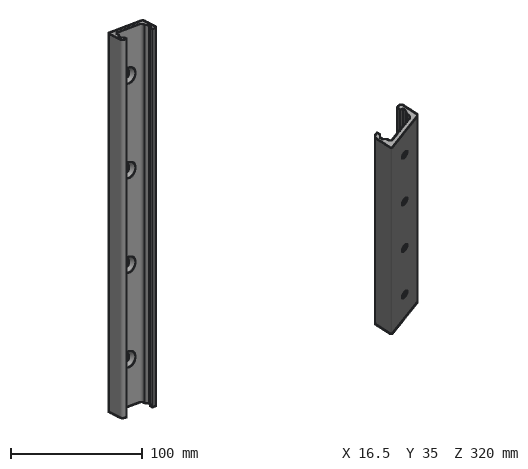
import cadquery as cq

length = 320.0
width = 35.0
depth = 16.5

web_thickness = 4.0
flange_thickness = 4.5
back_corner_radius = 1.3
lip_corner_radius = 2.2
inner_corner_radius = 2.0

groove_depth = 2.0
groove_start = 7.5
groove_floor_start = 10.2
groove_floor_end = 12.5
groove_end = 13.8

hole_diameter = 6.7
countersink_diameter = 13.5
countersink_angle = 90
hole_count = 4
hole_pitch = length / hole_count

half_width = width / 2
flange_inner_face = half_width - flange_thickness
groove_floor = flange_inner_face + groove_depth


def channel():
    """C-shaped rail with its back on X = 0 and its open side toward +X."""
    outer = cq.Workplane("XY").box(depth, width, length, centered=(False, True, False))
    outer = outer.edges("|Z and <X").fillet(back_corner_radius)
    outer = outer.edges("|Z and >X").fillet(lip_corner_radius)
    cavity = (
        cq.Workplane("XY")
        .box(depth, 2 * flange_inner_face, length, centered=(False, True, False))
        .edges("|Z and <X")
        .fillet(inner_corner_radius)
        .translate((web_thickness, 0, 0))
    )
    return outer.cut(cavity)


def flange_grooves():
    """Trapezoidal cutter that forms the facing grooves of both flanges."""
    return (
        cq.Workplane("XY")
        .polyline([
            (groove_start, -flange_inner_face),
            (groove_floor_start, -groove_floor),
            (groove_floor_end, -groove_floor),
            (groove_end, -flange_inner_face),
            (groove_end, flange_inner_face),
            (groove_floor_end, groove_floor),
            (groove_floor_start, groove_floor),
            (groove_start, flange_inner_face),
        ])
        .close()
        .extrude(length)
    )


def drill_mounting_holes(rail):
    """Row of holes on the web centreline, countersunk from inside the channel."""
    centres = [(0, hole_pitch * (index + 0.5)) for index in range(hole_count)]
    return (
        rail.copyWorkplane(cq.Workplane("YZ", origin=(web_thickness, 0, 0)))
        .pushPoints(centres)
        .cskHole(hole_diameter, countersink_diameter, countersink_angle, depth=web_thickness)
    )


result = drill_mounting_holes(channel().cut(flange_grooves()))